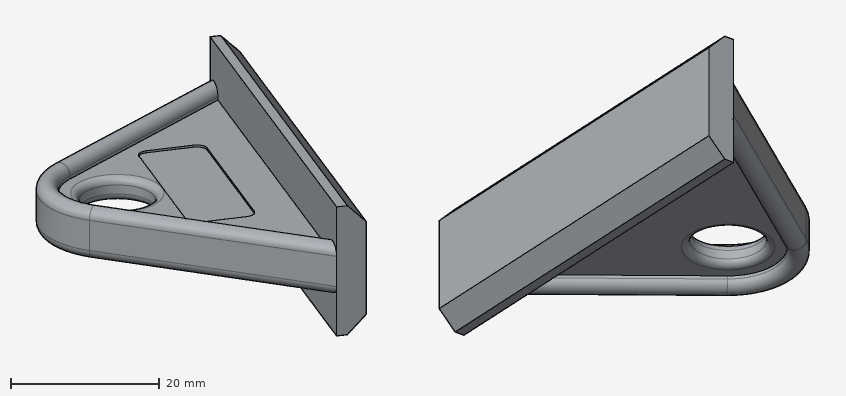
import cadquery as cq
import math

plate_length = 60.0
plate_height = 19.0
plate_thickness = 4.2
plate_bevel = 2.7

total_depth = 37.15
web_thickness = 7.45
nose_radius = 11.0
bead_radius = 1.5
recess_depth = 2.0
floor_thickness = web_thickness - 2 * recess_depth

hole_radius = 5.2
hole_rounding = 1.1

pocket_length = 25.2
pocket_width = 9.6
pocket_corner_radius = 1.5
pocket_depth = 0.3
pocket_gap = 6.0

nose_y = -(total_depth - plate_thickness - nose_radius)
corner_distance = math.hypot(plate_length / 2, nose_y)
corner_angle = math.atan2(-nose_y, plate_length / 2)
normal_angle = corner_angle - math.acos(nose_radius / corner_distance)
normal_x = math.cos(normal_angle)
normal_y = math.sin(normal_angle)

path_radius = nose_radius - bead_radius
path_start_y = plate_thickness
path_start_x = (path_radius - normal_y * (path_start_y - nose_y)) / normal_x
tangent_x = path_radius * normal_x
tangent_y = nose_y + path_radius * normal_y


def bead_path():
    return (
        cq.Workplane("XY")
        .moveTo(-path_start_x, path_start_y)
        .lineTo(-tangent_x, tangent_y)
        .threePointArc((0, nose_y - path_radius), (tangent_x, tangent_y))
        .lineTo(path_start_x, path_start_y)
    )


def make_plate():
    plate = cq.Workplane("XY").box(plate_length, plate_thickness, plate_height)
    plate = plate.faces(">Y").edges("|X").chamfer(plate_bevel)
    return plate.translate((0, plate_thickness / 2, 0))


def make_bead():
    half_height = web_thickness / 2
    straight = half_height - bead_radius
    section_plane = cq.Plane(
        origin=(-path_start_x, path_start_y, 0),
        xDir=(normal_x, -normal_y, 0),
        normal=(-normal_y, -normal_x, 0),
    )
    section = (
        cq.Workplane(section_plane)
        .moveTo(bead_radius, -straight)
        .lineTo(bead_radius, straight)
        .threePointArc((0, half_height), (-bead_radius, straight))
        .lineTo(-bead_radius, -straight)
        .threePointArc((0, -half_height), (bead_radius, -straight))
        .close()
    )
    return section.sweep(bead_path())


def make_web():
    web_floor = bead_path().close().extrude(floor_thickness / 2, both=True)
    in_front_of_plate = cq.Workplane("XY").box(
        plate_length, total_depth, plate_height
    ).translate((0, -total_depth / 2, 0))
    return web_floor.union(make_bead()).intersect(in_front_of_plate)


def make_hole_cutter():
    """Revolved profile of the hole, flaring along a convex round at both rims."""
    half_floor = floor_thickness / 2
    straight = half_floor - hole_rounding
    rim_radius = hole_radius + hole_rounding
    inset = hole_rounding * (1 - math.sqrt(0.5))
    profile = (
        cq.Workplane("XZ")
        .moveTo(0, -half_floor)
        .lineTo(rim_radius, -half_floor)
        .threePointArc((hole_radius + inset, -half_floor + inset), (hole_radius, -straight))
        .lineTo(hole_radius, straight)
        .threePointArc((hole_radius + inset, half_floor - inset), (rim_radius, half_floor))
        .lineTo(0, half_floor)
        .close()
    )
    return profile.revolve(360, (0, 0), (0, 1)).translate((0, nose_y, 0))


def make_pocket_cutter():
    pocket = cq.Workplane("XY").box(
        pocket_length, pocket_width, pocket_depth, centered=(True, True, False)
    )
    pocket = pocket.edges("|Z").fillet(pocket_corner_radius)
    pocket_y = -(pocket_gap + pocket_width / 2)
    return pocket.translate((0, pocket_y, floor_thickness / 2 - pocket_depth))


body = make_plate().union(make_web())
result = body.cut(make_hole_cutter()).cut(make_pocket_cutter())